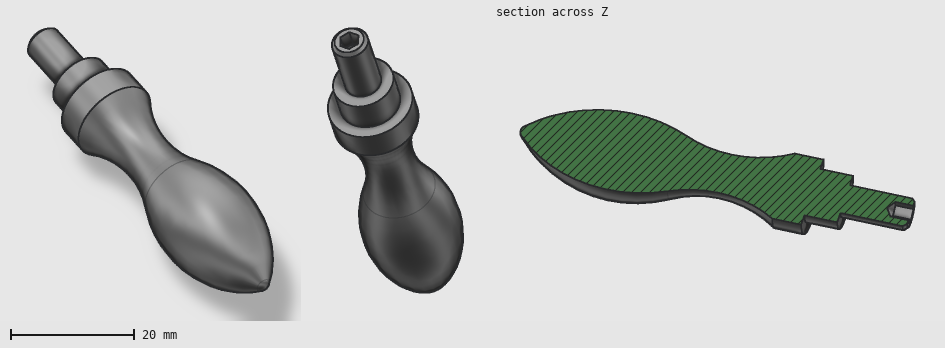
import cadquery as cq
import math

total_length = 65.5

stud_radius = 6.0 / 2
stud_length = 11.0
stud_chamfer = 0.6
shoulder_radius = 10.0 / 2
shoulder_end = 16.5
collar_radius = 14.0 / 2

neck_x = 31.25
neck_radius = 4.1
belly_x = 48.85
belly_radius = 8.2
belly_arc_radius = 21.95
tip_start = 64.9

socket_across_flats = 3.0
socket_depth = 3.0
socket_cone_depth = 1.0

arc_spacing_x = belly_x - neck_x
radius_rise = belly_radius - neck_radius
arc_radius_sum = (arc_spacing_x**2 + radius_rise**2) / (2 * radius_rise)
neck_arc_radius = arc_radius_sum - belly_arc_radius
neck_center_r = neck_radius + neck_arc_radius
belly_center_r = belly_radius - belly_arc_radius


def neck_r(x):
    """Radius of the grip along the neck arc."""
    return neck_center_r - math.sqrt(neck_arc_radius**2 - (x - neck_x) ** 2)


def belly_r(x):
    """Radius of the grip along the belly arc."""
    return belly_center_r + math.sqrt(belly_arc_radius**2 - (x - belly_x) ** 2)


collar_end = neck_x - math.sqrt(neck_arc_radius**2 - (neck_center_r - collar_radius) ** 2)
blend_x = neck_x + arc_spacing_x * neck_arc_radius / arc_radius_sum

tip_radius = belly_r(tip_start)
tip_height = total_length - tip_start
cap_radius = (tip_radius**2 + tip_height**2) / (2 * tip_height)
cap_mid_x = (tip_start + total_length) / 2
cap_mid_r = math.sqrt(cap_radius**2 - (cap_mid_x - total_length + cap_radius) ** 2)


def make_body():
    """Revolve the half profile of the handle about X."""
    return (
        cq.Workplane("XY")
        .moveTo(0, 0)
        .lineTo(0, stud_radius - stud_chamfer)
        .lineTo(stud_chamfer, stud_radius)
        .lineTo(stud_length, stud_radius)
        .lineTo(stud_length, shoulder_radius)
        .lineTo(shoulder_end, shoulder_radius)
        .lineTo(shoulder_end, collar_radius)
        .lineTo(collar_end, collar_radius)
        .threePointArc((neck_x, neck_radius), (blend_x, neck_r(blend_x)))
        .threePointArc((belly_x, belly_radius), (tip_start, tip_radius))
        .threePointArc((cap_mid_x, cap_mid_r), (total_length, 0))
        .close()
        .revolve(360, (0, 0, 0), (1, 0, 0))
    )


def make_socket():
    """Hexagonal prism with corners up and down, ended by a cone inside its outline."""
    across_corners = socket_across_flats / math.cos(math.pi / 6)
    prism = (
        cq.Workplane("YZ")
        .transformed(rotate=(0, 0, 90))
        .polygon(6, across_corners)
        .extrude(socket_depth)
    )
    cone = cq.Workplane(
        cq.Solid.makeCone(
            socket_across_flats / 2,
            0,
            socket_cone_depth,
            cq.Vector(socket_depth, 0, 0),
            cq.Vector(1, 0, 0),
        )
    )
    return prism.union(cone)


result = make_body().cut(make_socket())